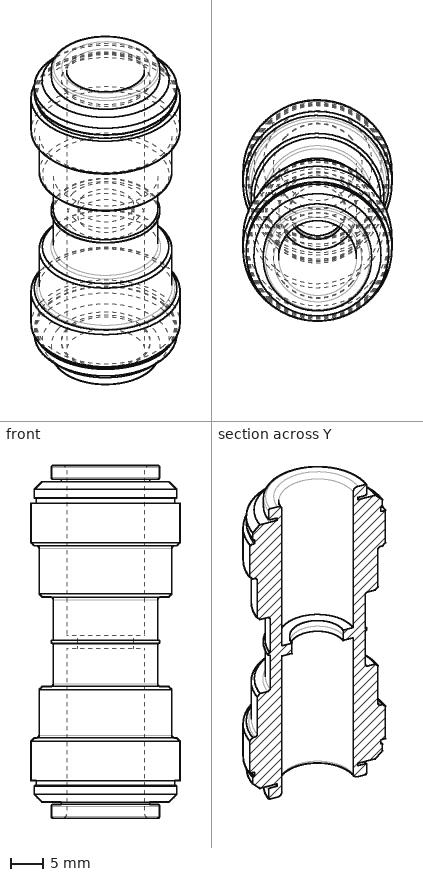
import cadquery as cq
import math

total_length = 54.4
half_length = total_length / 2

body_diameter = 23.0
cap_diameter = 22.0
groove_diameter = 21.4
shoulder_diameter = 20.5
collar_diameter = 16.7
waist_diameter = 16.15
neck_diameter = 13.7
tube_diameter = 12.0
through_diameter = 8.65
ring_diameter = 16.8

collar_length = 2.15
neck_length = 0.35
cap_length = 2.6
groove_length = 0.7
body_length = 6.6
shoulder_length = 7.92
stop_thickness = 2.0
ring_height = 0.5

collar_rounding = 0.3
cap_chamfer = 1.2
cap_rim_chamfer = 0.15
body_chamfer = 0.5
shoulder_chamfer = 0.5
root_radius = 0.4
mouth_radius = 0.8

collar_bottom = half_length - collar_length
cap_top = collar_bottom - neck_length
cap_bottom = cap_top - cap_length
body_top = cap_bottom - groove_length
body_bottom = body_top - body_length
shoulder_bottom = body_bottom - shoulder_length


def arc_inset(radius):
    """Distance from a square corner to the middle of its quarter-round, along each axis."""
    return radius * (1 - math.sqrt(0.5))


def add_root_fillet(profile, radius, level):
    """Quarter-round corner from a face at the given level down to a smaller cylinder."""
    arc_offset = arc_inset(root_radius)
    return profile.lineTo(radius + root_radius, level).threePointArc(
        (radius + arc_offset, level - arc_offset),
        (radius, level - root_radius),
    )


def make_outer_half():
    """Solid upper half of the connector, without its bore."""
    body_radius = body_diameter / 2
    cap_radius = cap_diameter / 2
    groove_radius = groove_diameter / 2
    shoulder_radius = shoulder_diameter / 2
    collar_radius = collar_diameter / 2
    waist_radius = waist_diameter / 2
    neck_radius = neck_diameter / 2
    collar_offset = arc_inset(collar_rounding)

    profile = (
        cq.Workplane("XZ")
        .moveTo(0, half_length)
        .lineTo(collar_radius - collar_rounding, half_length)
        .threePointArc(
            (collar_radius - collar_offset, half_length - collar_offset),
            (collar_radius, half_length - collar_rounding),
        )
        .lineTo(collar_radius, collar_bottom + collar_rounding)
        .threePointArc(
            (collar_radius - collar_offset, collar_bottom + collar_offset),
            (collar_radius - collar_rounding, collar_bottom),
        )
        .lineTo(neck_radius, collar_bottom)
        .lineTo(neck_radius, cap_top)
        .lineTo(cap_radius - cap_chamfer, cap_top)
        .lineTo(cap_radius, cap_top - cap_chamfer)
        .lineTo(cap_radius, cap_bottom + cap_rim_chamfer)
        .lineTo(cap_radius - cap_rim_chamfer, cap_bottom)
        .lineTo(groove_radius, cap_bottom)
        .lineTo(groove_radius, body_top)
        .lineTo(body_radius, body_top)
        .lineTo(body_radius, body_bottom + body_chamfer)
        .lineTo(body_radius - body_chamfer, body_bottom)
    )
    profile = add_root_fillet(profile, shoulder_radius, body_bottom)
    profile = profile.lineTo(shoulder_radius, shoulder_bottom + shoulder_chamfer)
    profile = profile.lineTo(shoulder_radius - shoulder_chamfer, shoulder_bottom)
    profile = add_root_fillet(profile, waist_radius, shoulder_bottom)
    profile = profile.lineTo(waist_radius, 0).lineTo(0, 0).close()
    return profile.revolve(360, (0, 0, 0), (0, 1, 0))


def make_middle_ring():
    """Thin bead with a rounded section around the middle of the waist."""
    waist_radius = waist_diameter / 2
    ring_radius = ring_diameter / 2
    return (
        cq.Workplane("XZ")
        .moveTo(0, ring_height / 2)
        .lineTo(waist_radius, ring_height / 2)
        .threePointArc((ring_radius, 0), (waist_radius, -ring_height / 2))
        .lineTo(0, -ring_height / 2)
        .close()
        .revolve(360, (0, 0, 0), (0, 1, 0))
    )


def make_socket_cutter():
    """Tube socket of the upper half, with a rounded mouth."""
    tube_radius = tube_diameter / 2
    arc_offset = arc_inset(mouth_radius)
    return (
        cq.Workplane("XZ")
        .moveTo(0, stop_thickness / 2)
        .lineTo(tube_radius, stop_thickness / 2)
        .lineTo(tube_radius, half_length - mouth_radius)
        .threePointArc(
            (tube_radius + arc_offset, half_length - arc_offset),
            (tube_radius + mouth_radius, half_length),
        )
        .lineTo(0, half_length)
        .close()
        .revolve(360, (0, 0, 0), (0, 1, 0))
    )


def make_through_cutter():
    """Flow passage along the whole connector."""
    return cq.Workplane("XY").circle(through_diameter / 2).extrude(half_length, both=True)


upper_half = make_outer_half().cut(make_socket_cutter())
lower_half = upper_half.mirror("XY")
result = upper_half.union(lower_half).union(make_middle_ring()).cut(make_through_cutter())